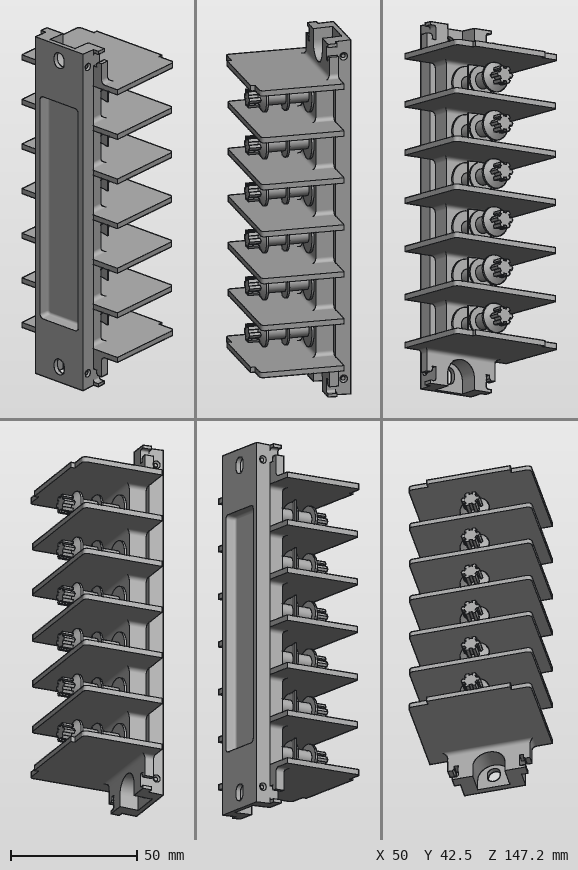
import cadquery as cq
import math

length = 147.2
base_width = 25.0
end_draft = 2.0
base_depth = 6.3
block_width = 20.0
block_back = 13.7
barrier_count = 7
barrier_span = 117.0
barrier_thickness = 2.2
barrier_width = 50.0
barrier_back = 40.2
end_barrier_back = 40.8
barrier_corner_radius = 1.6
tongue_width = 34.2
tongue_back = 42.5
root_fillet = 1.8

end_block_back = 10.0
ear_width = 30.0
ear_thickness = 1.6
ear_fillet = 0.9
hook_width = 33.5
hook_tip_z = 68.5
hook_floor_z = 66.2
hook_gap_width = 28.3
hook_tip_chamfer = 0.7

mount_z = 67.0
slot_length = 6.8
slot_width = 5.2
pocket_z = 68.3
pocket_width = 13.1
pocket_floor = 2.0
dimple_diameter = 3.1
dimple_floor_diameter = 1.6
dimple_depth = 0.7
dimple_y = 3.0

window_width = 20.0
window_height = 97.2
window_depth = 4.4
window_draft = 6.0
window_corner_radius = 1.8
window_floor_fillet = 1.0

pad_diameter = 14.9
pad_thickness = 0.9
shank_diameter = 6.6
washer_diameter = 11.9
washer_thickness = 0.7
washer_y = 23.3
wing_angle = 15.0
wing_length = 3.5
flange_y = 32.0
flange_rim = 0.9
cone_height = 2.5
cone_top_diameter = 5.0
head_top = 39.2
head_groove_depth = 0.7

half_length = length / 2
barrier_pitch = barrier_span / (barrier_count - 1)
end_barrier_z = barrier_span / 2
end_face_z = end_barrier_z + barrier_thickness / 2
barrier_heights = [i * barrier_pitch - end_barrier_z for i in range(barrier_count)]
screw_heights = [z + barrier_pitch / 2 for z in barrier_heights[:-1]]


def box(x0, x1, y0, y1, z0, z1):
    return cq.Workplane("XY").box(x1 - x0, y1 - y0, z1 - z0, centered=False).translate((x0, y0, z0))


def wide_box(width, y0, y1, z0, z1):
    """A box centred on X = 0."""
    return box(-width / 2, width / 2, y0, y1, z0, z1)


def mirrored_in_z(shape):
    """The shape together with its mirror image at the other end of the part."""
    return shape.union(shape.mirror("XY"))


def barrier(z, back):
    plate = wide_box(barrier_width, base_depth, back, z - barrier_thickness / 2, z + barrier_thickness / 2)
    return plate.edges("|Z and >Y").fillet(barrier_corner_radius)


def end_barrier():
    tongue = wide_box(tongue_width, base_depth, tongue_back, end_barrier_z - barrier_thickness / 2, end_face_z)
    return barrier(end_barrier_z, end_barrier_back).union(tongue)


def hook_outline():
    """End block with a snap hook on both sides, seen along Y."""
    tip_x = hook_width / 2
    gap_x = hook_gap_width / 2
    half = [
        (base_width / 2, half_length),
        (base_width / 2, hook_floor_z),
        (gap_x, hook_floor_z),
        (gap_x, hook_tip_z - hook_tip_chamfer),
        (gap_x + hook_tip_chamfer, hook_tip_z),
        (tip_x, hook_tip_z),
        (tip_x, end_face_z),
    ]
    return half + [(-x, z) for x, z in reversed(half)]


def along_y(y):
    """Sketch plane at depth y whose axes are X and Z, with its normal toward +Y."""
    return cq.Workplane(cq.Plane(origin=(0, y, 0), xDir=(-1, 0, 0), normal=(0, 1, 0)))


def end_block():
    depth = end_block_back - base_depth
    return along_y(base_depth).polyline(hook_outline()).close().extrude(depth)


def ears():
    inner_z = half_length - ear_thickness
    strip = wide_box(ear_width, base_depth, end_block_back, inner_z, half_length)
    body = strip.union(wide_box(base_width, base_depth, end_block_back, hook_tip_z, half_length))
    corner = cq.selectors.BoxSelector(
        (-ear_width / 2 + 0.1, base_depth, inner_z - 0.1), (ear_width / 2 - 0.1, end_block_back, inner_z + 0.1))
    return body.edges("|Y").edges(corner).fillet(ear_fillet)


def root_edges(body, width, back, z):
    """Edges where a block of the given width and back face meets a barrier face at height z."""
    margin = 0.1
    selector = cq.selectors.BoxSelector(
        (-width / 2 - margin, base_depth + margin, z - margin), (width / 2 + margin, back + margin, z + margin))
    return body.edges(selector)


def mounting_pocket():
    """U-shaped pocket open to the back and to the end face, with a slotted hole through its floor."""
    depth = end_block_back + root_fillet - pocket_floor
    round_end = along_y(pocket_floor).center(0, pocket_z).circle(pocket_width / 2).extrude(depth)
    channel = wide_box(pocket_width, pocket_floor, pocket_floor + depth, pocket_z, half_length)
    slot = along_y(0).center(0, mount_z).slot2D(slot_length, slot_width, 90).extrude(base_depth)
    return round_end.union(channel).union(slot)


def side_dimple():
    """Conical dimple with a flat floor in the -X side of the base."""
    mouth = cq.Workplane("YZ", origin=(-base_width / 2, 0, 0)).center(dimple_y, mount_z)
    return (mouth.circle(dimple_diameter / 2)
            .workplane(offset=dimple_depth).circle(dimple_floor_diameter / 2).loft())


def front_window():
    mouth = cq.Sketch().rect(window_width, window_height).vertices().fillet(window_corner_radius)
    recess = along_y(0).placeSketch(mouth).extrude(window_depth, taper=window_draft)
    return recess.faces(">Y").edges().fillet(window_floor_fillet)


def end_draft_wedge():
    """Thin wedge that leaves the end face sloping in toward the back."""
    run = end_block_back + root_fillet
    rise = run * math.tan(math.radians(end_draft))
    triangle = [(0, half_length), (run, half_length), (run, half_length - rise)]
    return cq.Workplane("YZ").polyline(triangle).close().extrude(barrier_width / 2, both=True)


def make_housing():
    body = wide_box(base_width, 0, base_depth, -half_length, half_length)
    body = body.union(wide_box(block_width, base_depth, block_back, -end_barrier_z, end_barrier_z))
    for z in barrier_heights[1:-1]:
        body = body.union(barrier(z, barrier_back))
    body = body.union(mirrored_in_z(end_barrier().union(end_block()).union(ears())))

    for z in barrier_heights:
        for face_z in (z - barrier_thickness / 2, z + barrier_thickness / 2):
            if abs(face_z) < end_barrier_z:
                body = root_edges(body, block_width, block_back, face_z).fillet(root_fillet)
    for face_z in (-end_face_z, end_face_z):
        body = root_edges(body, hook_width, end_block_back, face_z).fillet(root_fillet)

    dimple = side_dimple()
    body = body.cut(mirrored_in_z(mounting_pocket()))
    body = body.cut(mirrored_in_z(dimple.union(dimple.mirror("YZ"))))
    body = body.cut(mirrored_in_z(end_draft_wedge()))
    return body.cut(front_window())


def disc(diameter, y0, y1):
    return along_y(y0).circle(diameter / 2).extrude(y1 - y0)


def clamp_washer():
    """Flat washer, round toward -X, whose straight +X wing is bent toward the block."""
    radius = washer_diameter / 2
    bend_x = radius - wing_length
    drop = wing_length * math.tan(math.radians(wing_angle))
    top_y = washer_y + washer_thickness
    wing = (cq.Workplane("XY")
            .polyline([(0, washer_y), (bend_x, washer_y), (radius, washer_y - drop),
                       (radius, top_y - drop), (bend_x, top_y), (0, top_y)])
            .close().extrude(radius, both=True))
    return disc(washer_diameter, washer_y, top_y).union(wing)


def screw_head():
    """Hexagonal head, corners toward X, with a groove along the middle of each flat."""
    corner_diameter = shank_diameter / math.cos(math.pi / 6)
    groove_width = corner_diameter / 6
    head = along_y(flange_y).polygon(6, corner_diameter).extrude(head_top - flange_y)
    groove_floor = shank_diameter / 2 - head_groove_depth
    groove = box(groove_floor, shank_diameter, flange_y, head_top, -groove_width / 2, groove_width / 2)
    for i in range(6):
        head = head.cut(groove.rotate((0, 0, 0), (0, 1, 0), 30 + 60 * i))
    return head


def flange():
    """Round flange that rises as a cone into the head."""
    cone_base_y = flange_y + flange_rim
    cone = (along_y(cone_base_y).circle(washer_diameter / 2)
            .workplane(offset=cone_height).circle(cone_top_diameter / 2).loft())
    return disc(washer_diameter, flange_y, cone_base_y).union(cone)


def make_screw(z):
    """Terminal screw with its contact pad, clamp washer and head, standing on the housing block."""
    pad = disc(pad_diameter, block_back, block_back + pad_thickness)
    shank = disc(shank_diameter, block_back, flange_y)
    screw = pad.union(shank).union(clamp_washer()).union(flange()).union(screw_head())
    return screw.translate((0, 0, z))


housing = make_housing()
screws = [make_screw(z) for z in screw_heights]

result = cq.Compound.makeCompound([housing.val()] + [screw.val() for screw in screws])